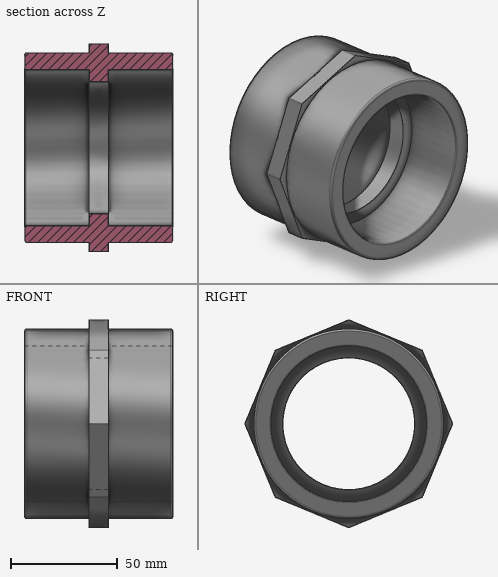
import cadquery as cq
import math

length = 69.4
body_diameter = 89.0
rim_fillet = 1.0

collar_flats = 90.0
collar_width = 9.0
collar_sides = 8
collar_corner_fillet = 0.5

socket_diameter = 73.0
socket_depth = 30.2
mouth_fillet = 0.5
bore_diameter = 61.8


def make_body():
    """Plain cylinder with rounded outer rims."""
    body = cq.Workplane("YZ").circle(body_diameter / 2).extrude(length / 2, both=True)
    return body.edges("%CIRCLE").fillet(rim_fillet)


def make_collar():
    """Octagon with corners on the Y and Z axes, each corner slightly rounded."""
    corner_diameter = collar_flats / math.cos(math.pi / collar_sides)
    collar = cq.Workplane("YZ").polygon(collar_sides, corner_diameter)
    collar = collar.extrude(collar_width / 2, both=True)
    return collar.edges("|X").fillet(collar_corner_fillet)


def make_cavity():
    """Revolved profile of both sockets and the bore between them."""
    end = length / 2
    stop = end - socket_depth
    socket_radius = socket_diameter / 2
    bore_radius = bore_diameter / 2
    profile = [
        (-end, 0),
        (-end, socket_radius),
        (-stop, socket_radius),
        (-stop, bore_radius),
        (stop, bore_radius),
        (stop, socket_radius),
        (end, socket_radius),
        (end, 0),
    ]
    return cq.Workplane("XY").polyline(profile).close().revolve(360, (0, 0, 0), (1, 0, 0))


def round_mouths(coupling):
    """Round the inner edge of each socket mouth."""
    mouth_edges = coupling.faces("<X or >X").edges(cq.selectors.RadiusNthSelector(0))
    return mouth_edges.fillet(mouth_fillet)


result = round_mouths(make_body().union(make_collar()).cut(make_cavity()))